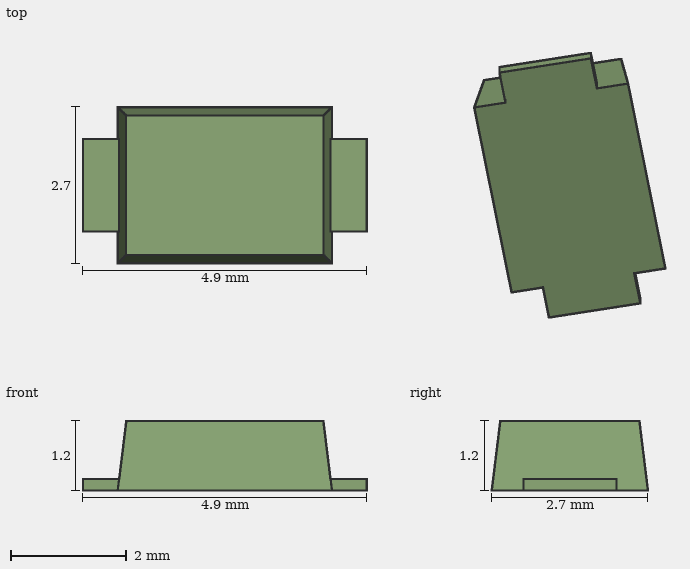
import cadquery as cq

body_length = 3.7
body_width = 2.7
body_height = 1.2
draft_angle = 7

lead_span = 4.9
lead_width = 1.6
lead_thickness = 0.2

body = cq.Workplane("XY").rect(body_length, body_width).extrude(body_height, taper=draft_angle)

leads = cq.Workplane("XY").box(
    lead_span, lead_width, lead_thickness, centered=(True, True, False)
)

result = body.union(leads)